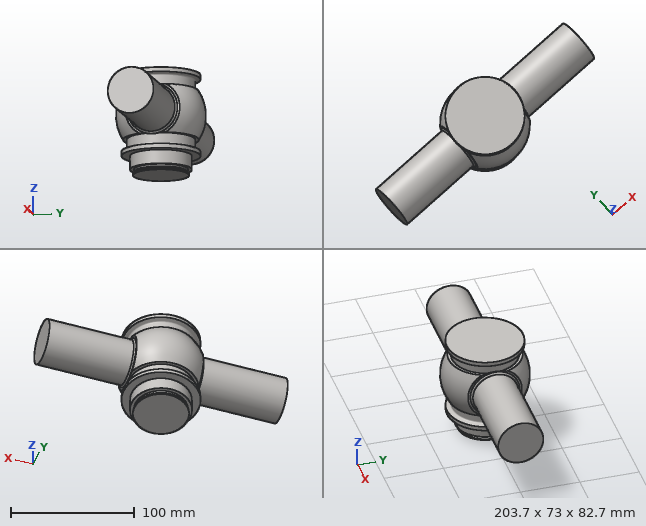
import cadquery as cq

SPHERE_DIAMETER = 73.0
SIDE_FLAT_DIAMETER = 45.5
NECK_FLAT_HEIGHT = 20.0

PIPE_LENGTH = 203.7
PIPE_DIAMETER = 38.0
COLLAR_BASE_DIAMETER = 41.5
COLLAR_LENGTH = 1.5

NECK_DIAMETER = 55.6
FLANGE_DIAMETER = 64.0
FLANGE_FACE_HEIGHT = 33.5
FLANGE_RIM = 3.7
FLANGE_TAPER = 1.2
FLANGE_FILLET = 1.0

TOTAL_HEIGHT = 82.7
SPIGOT_DIAMETER = 50.1
SPIGOT_LENGTH = 11.2
GROOVE_TOP_DIAMETER = 44.0
GROOVE_DIAMETER = 42.8
GROOVE_WIDTH = 0.6
LIP_DIAMETER = 45.5
LIP_HEIGHT = 1.0
LIP_TAPER = 1.5

SPHERE_RADIUS = SPHERE_DIAMETER / 2
SIDE_FLAT_DISTANCE = (SPHERE_RADIUS**2 - (SIDE_FLAT_DIAMETER / 2) ** 2) ** 0.5


def make_body():
    """Sphere trimmed flat at both pipe sides and at both necks."""
    trim = cq.Workplane("XY").box(2 * SIDE_FLAT_DISTANCE, SPHERE_DIAMETER, 2 * NECK_FLAT_HEIGHT)
    return cq.Workplane("XY").sphere(SPHERE_RADIUS).intersect(trim)


def make_pipe():
    """Round pipe along X with tapered collars against the body."""
    pipe_radius = PIPE_DIAMETER / 2
    collar_radius = COLLAR_BASE_DIAMETER / 2
    collar_end = SIDE_FLAT_DISTANCE + COLLAR_LENGTH
    profile = [
        (-PIPE_LENGTH / 2, 0),
        (-PIPE_LENGTH / 2, pipe_radius),
        (-collar_end, pipe_radius),
        (-SIDE_FLAT_DISTANCE, collar_radius),
        (SIDE_FLAT_DISTANCE, collar_radius),
        (collar_end, pipe_radius),
        (PIPE_LENGTH / 2, pipe_radius),
        (PIPE_LENGTH / 2, 0),
    ]
    return cq.Workplane("XY").polyline(profile).close().revolve(360, (0, 0, 0), (1, 0, 0))


def revolve_about_z(profile):
    """Solid of revolution from (radius, height) points."""
    return cq.Workplane("XZ").polyline(profile).close().revolve(360, (0, 0, 0), (0, 1, 0))


def make_flanged_neck():
    """Upper neck, tapering out to its clamp flange."""
    rim_start = FLANGE_FACE_HEIGHT - FLANGE_RIM
    neck = revolve_about_z([
        (0, 0),
        (NECK_DIAMETER / 2, 0),
        (NECK_DIAMETER / 2, rim_start - FLANGE_TAPER),
        (FLANGE_DIAMETER / 2, rim_start),
        (FLANGE_DIAMETER / 2, FLANGE_FACE_HEIGHT),
        (0, FLANGE_FACE_HEIGHT),
    ])
    taper_root = cq.selectors.NearestToPointSelector((0, 0, rim_start - FLANGE_TAPER))
    return neck.edges("%CIRCLE").edges(taper_root).fillet(FLANGE_FILLET)


def make_spigot():
    """Spigot below the lower flange, ending in a groove and a flared lip."""
    top = -FLANGE_FACE_HEIGHT
    shoulder = top - SPIGOT_LENGTH
    bottom = FLANGE_FACE_HEIGHT - TOTAL_HEIGHT
    lip_top = bottom + LIP_HEIGHT
    groove_floor = lip_top + LIP_TAPER
    return revolve_about_z([
        (0, top),
        (SPIGOT_DIAMETER / 2, top),
        (SPIGOT_DIAMETER / 2, shoulder),
        (GROOVE_TOP_DIAMETER / 2, shoulder),
        (GROOVE_DIAMETER / 2, groove_floor + GROOVE_WIDTH),
        (GROOVE_DIAMETER / 2, groove_floor),
        (LIP_DIAMETER / 2, lip_top),
        (LIP_DIAMETER / 2, bottom),
        (0, bottom),
    ])


upper_neck = make_flanged_neck()
lower_neck = upper_neck.mirror("XY")
result = make_body().union(make_pipe()).union(upper_neck).union(lower_neck).union(make_spigot())